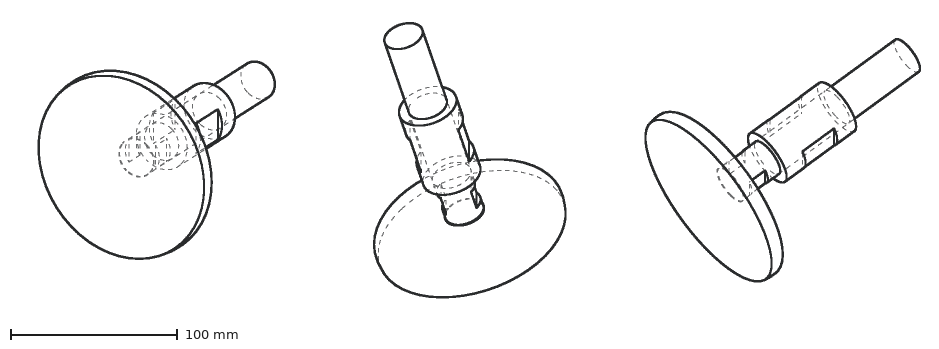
import cadquery as cq

total_length = 157.0

foot_diameter = 118.0
foot_radius = foot_diameter / 2
sole_inset = 0.6
taper_height = 4.2
rim_height = 10.0
round_start_height = 7.0
rim_round = 3.5
cone_base_radius = 56.5
cone_top_height = 17.1
lip_radius = 12.2
lip_height = 17.6

stem_diameter = 24.0
stem_radius = stem_diameter / 2
stem_flat_start = 24.2
stem_flat_length = 12.5
stem_flat_width = 18.8

sleeve_diameter = 36.0
sleeve_start = 46.5
sleeve_length = 55.0
sleeve_flat_length = 25.0
sleeve_flat_width = 30.0
sleeve_flat_start = sleeve_start + (sleeve_length - sleeve_flat_length) / 2


def rod(diameter, start, length):
    """Cylinder along Y from y = start."""
    return cq.Workplane("XZ", origin=(0, start, 0)).circle(diameter / 2).extrude(-length)


def cut_flats(body, diameter, start, length, width):
    """Cut a pair of wrench flats facing -X and +X."""
    depth = (diameter - width) / 2
    for side in (-1, 1):
        block_center = (side * (width + depth) / 2, start + length / 2, 0)
        body = body.cut(cq.Workplane("XY").box(depth, length, diameter).translate(block_center))
    return body


def make_foot():
    """Disc foot with a conical top, a narrow lip and a stem, as one turned piece with wrench flats."""
    foot = (
        cq.Workplane("XY")
        .lineTo(foot_radius - sole_inset, 0)
        .lineTo(foot_radius, taper_height)
        .lineTo(foot_radius, round_start_height)
        .radiusArc((cone_base_radius, rim_height), -rim_round)
        .lineTo(lip_radius, cone_top_height)
        .lineTo(lip_radius, lip_height)
        .lineTo(stem_radius, lip_height)
        .lineTo(stem_radius, total_length)
        .lineTo(0, total_length)
        .close()
        .revolve(360, (0, 0, 0), (0, 1, 0))
    )
    return cut_flats(foot, stem_diameter, stem_flat_start, stem_flat_length, stem_flat_width)


def make_sleeve():
    """Sleeve fitted around the stem, with wrench flats."""
    sleeve = rod(sleeve_diameter, sleeve_start, sleeve_length)
    sleeve = sleeve.cut(rod(stem_diameter, sleeve_start, sleeve_length))
    return cut_flats(sleeve, sleeve_diameter, sleeve_flat_start, sleeve_flat_length, sleeve_flat_width)


foot = make_foot()
sleeve = make_sleeve()
result = cq.Compound.makeCompound([foot.val(), sleeve.val()])